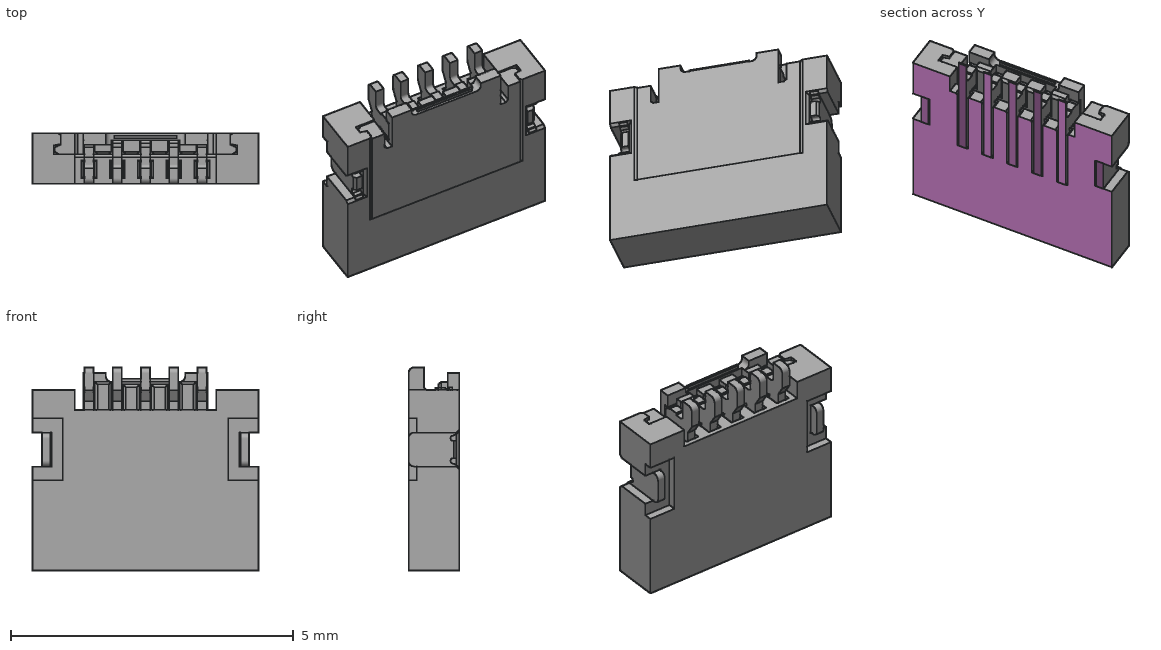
import cadquery as cq


WIDTH = 4.0
DEPTH = 0.9
EAR_TOP = 3.2
FRONT = -DEPTH / 2
BACK = DEPTH / 2
SILL_TOP = 2.85
CHANNEL_HALF = 2.5 / 2
SILL_CHAMFER = 0.055

POCKET_INNER_X = 1.47
POCKET_DEPTH = 0.15
POCKET_BOTTOM = 1.6
POCKET_TOP = 2.695

NOTCH_INNER_X = 1.66
NOTCH_BOTTOM = 1.845
NOTCH_TOP = 2.445
LEAD_IN = 0.05

PLUG_FRONT = 0.075
PLUG_BOTTOM = 1.2
WING_TOP = 3.17
NECK_HALF = 1.5
CAVITY_HALF = 1.63
CAVITY_NECK_Y = 0.255
CAVITY_SHOULDER_Y = 0.23
CAVITY_FLARE_X = 0.05
CAVITY_FLARE_Y = 0.035
WING_HALF = 1.61
WING_NECK_Y = 0.245
WING_SHOULDER_Y = 0.195
WING_CORNER_X = 1.535
WING_CORNER_Y = 0.125
PLUG_FLOOR = SILL_TOP - SILL_CHAMFER
FLOOR_CHAMFER = 0.05
CORE_HALF = 1.1

REAR_TOP = 3.5
REAR_FRONT = 0.24
DIP_BOTTOM = 3.345
DIP_RADIUS = 0.095
SLOT_BACK = 0.325
END_SLOT_TOP = 3.25
RIB_LENGTH = 1.105
RIB_FRONT = 0.355
RIB_BACK = 0.4
RIB_TOP = 3.4

CONTACT_COUNT = 5
PITCH = 0.5
CONTACT_WIDTH = 0.16
SLOT_WIDTH = 0.21
BLOCK_WIDTH = PITCH - SLOT_WIDTH
BLOCK_CHAMFER = 0.05
MIDDLE_BLOCK_TOP = 3.295
DIP_HALF = PITCH + SLOT_WIDTH / 2

CONTACT_TOP = 3.6
POST_BACK = -0.175
POST_RADIUS = 0.1
POST_BOTTOM = 3.195
STEM_TOP = 3.0
STEM_FRONT = -0.325
STEM_BACK = -0.055
STEM_BOTTOM = 1.6
VALLEY_Z = 3.195
VALLEY_RADIUS = 0.07
ARM_FRONT = PLUG_FRONT - SILL_CHAMFER
ARM_BACK = 0.2
ARM_TOP = 3.235
HEEL_TOP = 3.215
HEEL_CHAMFER = 0.055

HOLE_WIDTH = 0.21
HOLE_LEAD_IN = 0.03

TAB_OUTER_X = 1.83
TAB_THICKNESS = 0.15
TAB_BACK = BACK - LEAD_IN
TAB_RADIUS = 0.1
TAB_CHAMFER = 0.05
PRONG_THICKNESS = 0.025
RELIEF_RADIUS = 0.05
RELIEF_Y = 0.34
RELIEF_INSET = 0.1

CONTACT_XS = [PITCH * (i - (CONTACT_COUNT - 1) / 2) for i in range(CONTACT_COUNT)]
BLOCK_XS = [x + PITCH / 2 for x in CONTACT_XS[:-1]]


def box(x0, x1, y0, y1, z0, z1):
    """Box between two opposite corners."""
    return cq.Workplane("XY").box(x1 - x0, y1 - y0, z1 - z0, centered=False).translate((x0, y0, z0))


def mirrored_x(shape):
    """The same shape on the other side of the YZ plane."""
    return shape.mirror("YZ")


def symmetric_prism(half_outline, bottom, top):
    """Upright prism whose outline is the given +X half and its mirror image."""
    other_half = [(-x, y) for x, y in reversed(half_outline)]
    outline = half_outline + other_half
    return cq.Workplane("XY").workplane(offset=bottom).polyline(outline).close().extrude(top - bottom)


def plug_cavity():
    outline = [
        (CAVITY_HALF, PLUG_FRONT),
        (CAVITY_HALF, CAVITY_SHOULDER_Y),
        (NECK_HALF, CAVITY_NECK_Y),
        (NECK_HALF, BACK - CAVITY_FLARE_Y),
        (NECK_HALF + CAVITY_FLARE_X, BACK),
    ]
    return symmetric_prism(outline, PLUG_BOTTOM, EAR_TOP)


def sill_slope():
    """Wedge that bevels the back edge of the sill down to the plug."""
    section = [
        (PLUG_FRONT - SILL_CHAMFER, SILL_TOP),
        (PLUG_FRONT, SILL_TOP),
        (PLUG_FRONT, PLUG_FLOOR),
    ]
    return cq.Workplane("YZ").polyline(section).close().extrude(CHANNEL_HALF, both=True)


def stem_hole(x):
    """Hole for one contact stem, widened at the mouth."""
    length = STEM_BACK - STEM_FRONT
    middle_y = (STEM_BACK + STEM_FRONT) / 2
    mouth = (
        cq.Workplane("XY")
        .workplane(offset=SILL_TOP)
        .center(x, middle_y)
        .rect(HOLE_WIDTH + 2 * HOLE_LEAD_IN, length + 2 * HOLE_LEAD_IN)
        .extrude(-HOLE_LEAD_IN, taper=45)
    )
    shaft = box(x - HOLE_WIDTH / 2, x + HOLE_WIDTH / 2, STEM_FRONT, STEM_BACK, STEM_BOTTOM, SILL_TOP)
    return shaft.union(mouth)


def end_notch():
    """Material removed at the -X end: front pocket, tab notch and the flare of the notch."""
    pocket = box(-WIDTH / 2, -POCKET_INNER_X, FRONT, FRONT + POCKET_DEPTH, POCKET_BOTTOM, POCKET_TOP)
    notch = box(-WIDTH / 2, -NOTCH_INNER_X, FRONT, BACK, NOTCH_BOTTOM, NOTCH_TOP)
    notch_width = WIDTH / 2 - NOTCH_INNER_X
    flare = (
        cq.Workplane("XZ", origin=(-WIDTH / 2, BACK, (NOTCH_BOTTOM + NOTCH_TOP) / 2))
        .rect(2 * (notch_width + LEAD_IN), NOTCH_TOP - NOTCH_BOTTOM + 2 * LEAD_IN)
        .extrude(LEAD_IN, taper=45)
    )
    return pocket.union(notch).union(flare)


def make_housing():
    body = box(-WIDTH / 2, WIDTH / 2, FRONT, BACK, 0, EAR_TOP)
    body = body.cut(box(-CHANNEL_HALF, CHANNEL_HALF, FRONT, BACK, SILL_TOP, EAR_TOP))
    body = body.cut(plug_cavity()).cut(sill_slope())
    for x in CONTACT_XS:
        body = body.cut(stem_hole(x))
    return body.cut(end_notch()).cut(mirrored_x(end_notch()))


def plug_base():
    """Lower part of the plug with a wing at each end and a channel between the wings."""
    outline = [
        (WING_CORNER_X, PLUG_FRONT),
        (WING_HALF, WING_CORNER_Y),
        (WING_HALF, WING_SHOULDER_Y),
        (NECK_HALF, WING_NECK_Y),
        (NECK_HALF, BACK),
    ]
    channel = (
        box(-CHANNEL_HALF, CHANNEL_HALF, PLUG_FRONT, BACK, PLUG_FLOOR, WING_TOP)
        .edges("|Y and <Z")
        .chamfer(FLOOR_CHAMFER)
    )
    core = box(-CORE_HALF, CORE_HALF, PLUG_FRONT, BACK, PLUG_FLOOR, SILL_TOP)
    return symmetric_prism(outline, PLUG_BOTTOM, WING_TOP).cut(channel).union(core)


def plug_back_wall():
    """Back wall with a lowered, round-cornered middle, a rib on it and the slots of the contacts."""
    wall = box(-CORE_HALF, CORE_HALF, REAR_FRONT, BACK, SILL_TOP, REAR_TOP)
    dip_top = REAR_TOP + DIP_RADIUS
    dip_half = DIP_HALF + DIP_RADIUS
    dip = box(-dip_half, dip_half, REAR_FRONT, BACK, DIP_BOTTOM, dip_top)
    wall = wall.cut(dip.edges("|Y and <Z").fillet(DIP_RADIUS))
    wall = wall.cut(box(-DIP_HALF, DIP_HALF, REAR_FRONT, SLOT_BACK, SILL_TOP, REAR_TOP))
    slot_inner_x = CONTACT_XS[-1] - SLOT_WIDTH / 2
    end_slot = box(slot_inner_x, CORE_HALF, REAR_FRONT, SLOT_BACK, SILL_TOP, END_SLOT_TOP)
    wall = wall.cut(end_slot).cut(mirrored_x(end_slot))
    rib = box(-RIB_LENGTH / 2, RIB_LENGTH / 2, RIB_FRONT, RIB_BACK, DIP_BOTTOM, RIB_TOP)
    return wall.union(rib)


def plug_block(x):
    """Block between two contacts, bevelled around its front face; the outer blocks are taller."""
    is_outer = abs(x) > PITCH
    top = DIP_BOTTOM if is_outer else MIDDLE_BLOCK_TOP
    block = box(x - BLOCK_WIDTH / 2, x + BLOCK_WIDTH / 2, PLUG_FRONT, SLOT_BACK, SILL_TOP, top)
    return block.faces("<Y").edges("not <Z").chamfer(BLOCK_CHAMFER)


def make_plug():
    plug = plug_base().union(plug_back_wall())
    for x in BLOCK_XS:
        plug = plug.union(plug_block(x))
    return plug


def make_contact(x):
    """Flat contact: hooked front post, stem in the housing and arm in a slot of the plug."""
    profile = (
        cq.Workplane("YZ", origin=(x - CONTACT_WIDTH / 2, 0, 0))
        .moveTo(STEM_FRONT, STEM_BOTTOM)
        .lineTo(STEM_FRONT, STEM_TOP)
        .lineTo(FRONT, POST_BOTTOM)
        .lineTo(FRONT, CONTACT_TOP - POST_RADIUS)
        .radiusArc((FRONT + POST_RADIUS, CONTACT_TOP), POST_RADIUS)
        .lineTo(POST_BACK, CONTACT_TOP)
        .lineTo(POST_BACK, VALLEY_Z + VALLEY_RADIUS)
        .radiusArc((POST_BACK + VALLEY_RADIUS, VALLEY_Z), -VALLEY_RADIUS)
        .lineTo(ARM_FRONT, VALLEY_Z)
        .lineTo(ARM_FRONT, ARM_TOP)
        .lineTo(ARM_BACK, ARM_TOP)
        .lineTo(ARM_BACK, HEEL_TOP)
        .lineTo(SLOT_BACK - HEEL_CHAMFER, HEEL_TOP)
        .lineTo(SLOT_BACK, HEEL_TOP - HEEL_CHAMFER)
        .lineTo(SLOT_BACK, SILL_TOP)
        .lineTo(STEM_BACK, SILL_TOP)
        .lineTo(STEM_BACK, STEM_BOTTOM)
        .close()
    )
    return profile.extrude(CONTACT_WIDTH)


def tab_relief():
    """Round relief at the upper back corner of the tab, open to the back edge."""
    centre_z = NOTCH_TOP - RELIEF_INSET
    throat = [
        (RELIEF_Y, centre_z - RELIEF_RADIUS),
        (TAB_BACK, centre_z - RELIEF_RADIUS),
        (TAB_BACK, NOTCH_TOP - PRONG_THICKNESS),
        (RELIEF_Y, centre_z + RELIEF_RADIUS),
    ]
    side = cq.Workplane("YZ", origin=(-TAB_OUTER_X, 0, 0))
    hole = side.moveTo(RELIEF_Y, centre_z).circle(RELIEF_RADIUS).extrude(TAB_THICKNESS)
    return hole.union(side.polyline(throat).close().extrude(TAB_THICKNESS))


def tab_prong():
    """Thin prong at the upper back corner of the tab, spread upwards along the flare."""
    section = [
        (TAB_BACK, NOTCH_TOP),
        (BACK, NOTCH_TOP + LEAD_IN),
        (BACK, NOTCH_TOP + LEAD_IN - PRONG_THICKNESS),
        (TAB_BACK, NOTCH_TOP - PRONG_THICKNESS),
    ]
    return cq.Workplane("YZ", origin=(-TAB_OUTER_X, 0, 0)).polyline(section).close().extrude(TAB_THICKNESS)


def flipped_z(shape):
    """The same shape mirrored about the mid-height of the notch."""
    return shape.mirror("XY", (0, 0, (NOTCH_BOTTOM + NOTCH_TOP) / 2))


def tab_bevel():
    """Wedge that bevels the outer back edge of the tab between the two reliefs."""
    inset = RELIEF_INSET + RELIEF_RADIUS
    section = [
        (-TAB_OUTER_X, TAB_BACK - TAB_CHAMFER),
        (-TAB_OUTER_X, TAB_BACK),
        (TAB_CHAMFER - TAB_OUTER_X, TAB_BACK),
    ]
    base = cq.Workplane("XY").workplane(offset=NOTCH_BOTTOM + inset)
    return base.polyline(section).close().extrude(NOTCH_TOP - NOTCH_BOTTOM - 2 * inset)


def make_tab():
    """Metal tab at the -X end."""
    tab = box(-TAB_OUTER_X, TAB_THICKNESS - TAB_OUTER_X, FRONT, TAB_BACK, NOTCH_BOTTOM, NOTCH_TOP)
    tab = tab.edges("|X and <Y").fillet(TAB_RADIUS)
    tab = tab.cut(tab_bevel()).cut(tab_relief()).cut(flipped_z(tab_relief()))
    return tab.union(tab_prong()).union(flipped_z(tab_prong()))


housing = make_housing()
plug = make_plug()
contacts = [make_contact(x) for x in CONTACT_XS]
left_tab = make_tab()
tabs = [left_tab, mirrored_x(left_tab)]

result = cq.Compound.makeCompound([body.val() for body in [housing, plug, *contacts, *tabs]])